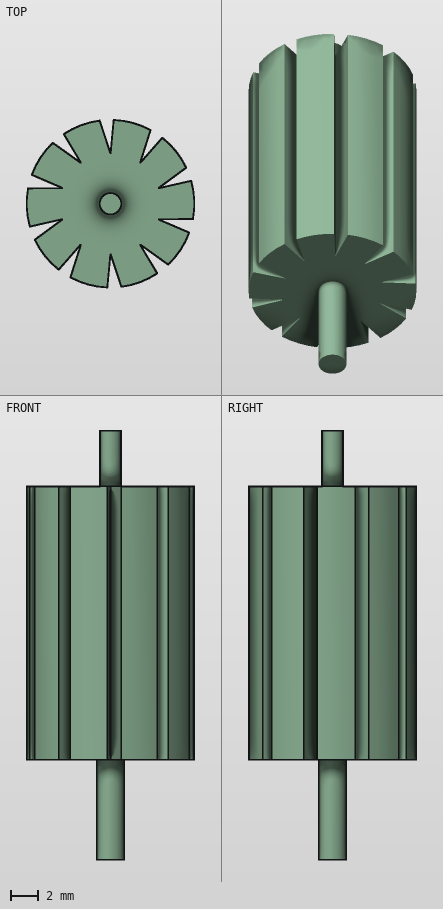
import cadquery as cq
import math

total_length = 30.7
core_length = 19.55
upper_shaft_length = 4.0
lower_shaft_length = total_length - core_length - upper_shaft_length

core_diameter = 12.0
upper_shaft_diameter = 1.55
lower_shaft_diameter = 2.0

slot_count = 10
slot_root_radius = 3.62
slot_mouth_start = -2.1
slot_mouth_end = 7.4
cutter_overrun = 1.5

core_radius = core_diameter / 2
slot_pitch = 360 / slot_count
first_slot_angle = slot_pitch / 2


def polar_point(radius, angle):
    """Point in the XY plane at a radius and an angle in degrees."""
    return (radius * math.cos(math.radians(angle)), radius * math.sin(math.radians(angle)))


def slot_cutter(root_angle):
    """Triangular prism whose sides pass through the slot root and the mouth corners."""
    root = polar_point(slot_root_radius, root_angle)
    points = [root]
    for mouth_offset in (slot_mouth_start, slot_mouth_end):
        mouth = polar_point(core_radius, root_angle + mouth_offset)
        points.append(tuple(r + cutter_overrun * (m - r) for r, m in zip(root, mouth)))
    return cq.Workplane("XY").polyline(points).close().extrude(core_length)


core = cq.Workplane("XY").circle(core_radius).extrude(core_length)
for slot_index in range(slot_count):
    core = core.cut(slot_cutter(first_slot_angle + slot_index * slot_pitch))

upper_shaft = (
    cq.Workplane("XY", origin=(0, 0, core_length))
    .circle(upper_shaft_diameter / 2)
    .extrude(upper_shaft_length)
)
lower_shaft = cq.Workplane("XY").circle(lower_shaft_diameter / 2).extrude(-lower_shaft_length)

result = core.union(upper_shaft).union(lower_shaft)